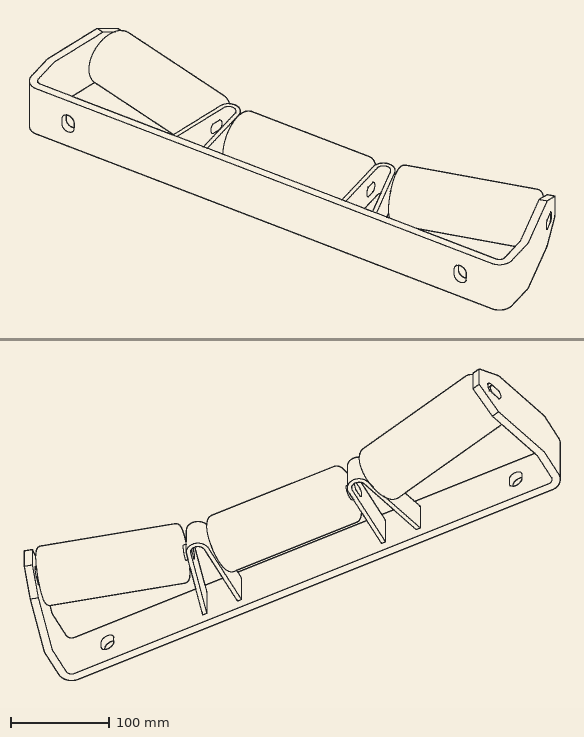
import cadquery as cq
import math

frame_length = 570.0
frame_height = 60.0
frame_thickness = 8.5
frame_bend_radius = 15.0
kink_y = 45.0
lean_angle = 15.0
plate_length = 97.5
tip_chamfer_length = 29.5
tip_chamfer_depth = 17.0

mount_slot_x = 232.5
mount_slot_width = 14.0
mount_slot_height = 21.5

roller_length = 149.5
roller_diameter = 61.5
roller_fillet = 5.0
roller_z = 28.5
center_roller_y = 70.0
side_roller_x = 182.0
side_roller_y = 96.5

shaft_diameter = 16.0
shaft_neck = 3.0
tang_height = 12.5
slot_clearance = 4.0

bracket_thickness = 4.5
bracket_height = 36.0
bracket_bend_radius = 12.0
bracket_leg_x = 80.0
bracket_bend_y = 82.5

half_length = frame_length / 2
mid_z = frame_height / 2
shaft_radius = shaft_diameter / 2
leg_angle = 180 - lean_angle
frame_inner_radius = frame_bend_radius - frame_thickness
bracket_inner_radius = bracket_bend_radius - bracket_thickness
corner = (-half_length + frame_bend_radius, frame_bend_radius)
kink = (-half_length + frame_bend_radius, kink_y)
hairpin = (-bracket_leg_x - bracket_bend_radius, bracket_bend_y)


def polar(center, radius, angle):
    """Point at a distance and direction (degrees) from a center."""
    a = math.radians(angle)
    return (center[0] + radius * math.cos(a), center[1] + radius * math.sin(a))


def mirrored(body):
    """Right-hand twin of a left-hand body."""
    return body.mirror("YZ")


def at_center(body):
    """Move a body from the roller's own axes to the center roller position."""
    return body.translate((0, center_roller_y, roller_z))


def at_left(body):
    """Move a body from the roller's own axes to the left roller position."""
    turned = body.rotate((0, 0, 0), (0, 0, 1), -lean_angle)
    return turned.translate((-side_roller_x, side_roller_y, roller_z))


def along_left_roller(point):
    """Distance of a point from the middle of the left roller, along its axis toward the bracket."""
    lean = math.radians(lean_angle)
    dx = point[0] + side_roller_x
    dy = point[1] - side_roller_y
    return dx * math.cos(lean) - dy * math.sin(lean)


center_reach = bracket_leg_x + bracket_thickness
plate_reach = frame_bend_radius - along_left_roller(kink)
bracket_reach = along_left_roller(hairpin) - bracket_inner_radius
cut_overrun = bracket_thickness / 2


def make_tang_bar(left_reach, right_reach, travel=0):
    """Bar along X with flat top and bottom and round sides; travel widens it toward +Y."""
    end_z = tang_height / 2
    end_y = math.sqrt(shaft_radius**2 - end_z**2)
    return (
        cq.Workplane("YZ", origin=(-left_reach, 0, 0))
        .moveTo(-end_y, -end_z)
        .lineTo(end_y + travel, -end_z)
        .threePointArc((shaft_radius + travel, 0), (end_y + travel, end_z))
        .lineTo(-end_y, end_z)
        .threePointArc((-shaft_radius, 0), (-end_y, -end_z))
        .close()
        .extrude(left_reach + right_reach)
    )


def make_roller(left_reach, right_reach):
    """Roller whose shaft tangs end at the given distances from its middle."""
    half = roller_length / 2
    radius = roller_diameter / 2
    shell = (
        cq.Workplane("XZ")
        .moveTo(-half, 0)
        .lineTo(-half, radius)
        .lineTo(half, radius)
        .lineTo(half, 0)
        .close()
        .revolve(360, (0, 0, 0), (1, 0, 0))
        .edges()
        .fillet(roller_fillet)
    )
    neck = cq.Workplane("YZ").circle(shaft_radius).extrude(half + shaft_neck, both=True)

    tang_bar = make_tang_bar(left_reach, right_reach)
    return shell.union(neck).union(tang_bar)


def make_half_frame():
    """Left half of the frame, from the middle of the base to the plate tip."""
    along_plate = 90 - lean_angle
    kink_mid = 180 - lean_angle / 2

    outer_end = polar(kink, frame_bend_radius, leg_angle)
    inner_end = polar(kink, frame_inner_radius, leg_angle)
    outer_tip = polar(outer_end, plate_length, along_plate)
    inner_tip = polar(inner_end, plate_length, along_plate)

    bar = (
        cq.Workplane("XY")
        .moveTo(0, 0)
        .lineTo(corner[0], 0)
        .threePointArc(polar(corner, frame_bend_radius, 225), polar(corner, frame_bend_radius, 180))
        .lineTo(-half_length, kink_y)
        .threePointArc(polar(kink, frame_bend_radius, kink_mid), outer_end)
        .lineTo(*outer_tip)
        .lineTo(*inner_tip)
        .lineTo(*inner_end)
        .threePointArc(polar(kink, frame_inner_radius, kink_mid), polar(kink, frame_inner_radius, 180))
        .lineTo(*polar(corner, frame_inner_radius, 180))
        .threePointArc(polar(corner, frame_inner_radius, 225), polar(corner, frame_inner_radius, 270))
        .lineTo(0, frame_thickness)
        .close()
        .extrude(frame_height)
    )

    bar = bar.cut(tip_corners(outer_tip))

    slot = make_tang_bar(plate_reach + cut_overrun, 0, slot_clearance)
    return bar.cut(at_left(slot))


def tip_corners(outer_tip):
    """Two triangular prisms through the plate at its tip corners."""
    lean = math.radians(lean_angle)
    tip_plane = cq.Plane(
        origin=(*outer_tip, mid_z),
        xDir=(math.sin(lean), math.cos(lean), 0),
        normal=(-math.cos(lean), math.sin(lean), 0),
    )
    prism = (
        cq.Workplane(tip_plane)
        .moveTo(-tip_chamfer_length, mid_z)
        .lineTo(0, mid_z)
        .lineTo(0, mid_z - tip_chamfer_depth)
        .close()
        .extrude(-frame_thickness)
    )
    return prism.union(prism.mirror("XY", (0, 0, mid_z)))


def make_frame():
    half = make_half_frame()
    frame = half.union(mirrored(half))
    mount_slots = (
        cq.Workplane("XZ")
        .pushPoints([(-mount_slot_x, mid_z), (mount_slot_x, mid_z)])
        .slot2D(mount_slot_height, mount_slot_width, 90)
        .extrude(-frame_thickness)
    )
    return frame.cut(mount_slots)


def make_left_bracket():
    hairpin_mid = leg_angle / 2

    def leg_foot(start):
        """Point where a leaning edge through start meets the frame base."""
        drop = start[1] - frame_thickness
        return (start[0] - drop * math.tan(math.radians(lean_angle)), frame_thickness)

    outer_end = polar(hairpin, bracket_bend_radius, leg_angle)
    inner_end = polar(hairpin, bracket_inner_radius, leg_angle)
    inner_leg_x = -bracket_leg_x - bracket_thickness

    bracket = (
        cq.Workplane("XY")
        .moveTo(-bracket_leg_x, frame_thickness)
        .lineTo(-bracket_leg_x, bracket_bend_y)
        .threePointArc(polar(hairpin, bracket_bend_radius, hairpin_mid), outer_end)
        .lineTo(*leg_foot(outer_end))
        .lineTo(*leg_foot(inner_end))
        .lineTo(*inner_end)
        .threePointArc(polar(hairpin, bracket_inner_radius, hairpin_mid), (inner_leg_x, bracket_bend_y))
        .lineTo(inner_leg_x, frame_thickness)
        .close()
        .extrude(bracket_height)
        .translate((0, 0, mid_z - bracket_height / 2))
    )

    center_hole = make_tang_bar(center_reach + cut_overrun, 0)
    side_hole = make_tang_bar(0, bracket_reach + cut_overrun)
    return bracket.cut(at_center(center_hole)).cut(at_left(side_hole))


frame = make_frame()

left_bracket = make_left_bracket()
brackets = [left_bracket, mirrored(left_bracket)]

left_roller = at_left(make_roller(plate_reach, bracket_reach))
center_roller = at_center(make_roller(center_reach, center_reach))
rollers = [left_roller, center_roller, mirrored(left_roller)]

bodies = [frame, *brackets, *rollers]
result = cq.Compound.makeCompound([body.solids().val() for body in bodies])